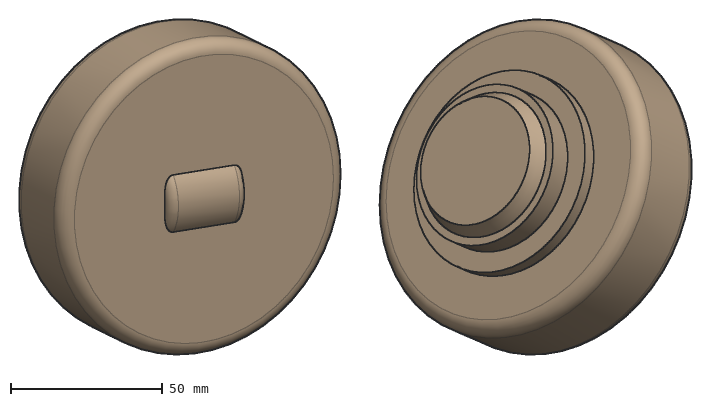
import cadquery as cq

wheel_diameter = 108.5
wheel_width = 31.7
rim_radius = 5.0

collar_diameter = 69.0
collar_width = 5.0
hub_diameter = 55.0
hub_width = 8.5
cone_base_diameter = 49.5
cone_tip_diameter = 43.9
cone_length = 5.5

roller_diameter = 32.1
roller_length = 29.7
roller_edge_radius = 3.3
roller_protrusion = 3.4

wheel_left = -wheel_width / 2
wheel_right = wheel_width / 2
collar_left = wheel_left - collar_width
hub_left = collar_left - hub_width
cone_tip = hub_left - cone_length


def disc(diameter, width, left):
    """Plain disc about the X axis, running from x = left toward +X."""
    return cq.Workplane("YZ", origin=(left, 0, 0)).circle(diameter / 2).extrude(width)


def make_wheel():
    """Wheel with both rim edges rounded."""
    return disc(wheel_diameter, wheel_width, wheel_left).edges().fillet(rim_radius)


def make_cone():
    """Tapered end cap, narrowing toward -X."""
    return (
        cq.Workplane("XY")
        .moveTo(cone_tip, 0)
        .lineTo(cone_tip, cone_tip_diameter / 2)
        .lineTo(hub_left, cone_base_diameter / 2)
        .lineTo(hub_left, 0)
        .close()
        .revolve(360, (0, 0, 0), (1, 0, 0))
    )


def make_side_roller():
    """Cylinder along Y with rounded ends, standing proud of the wheel's +X face."""
    axis_x = wheel_right + roller_protrusion - roller_diameter / 2
    return (
        cq.Workplane("XZ")
        .center(axis_x, 0)
        .circle(roller_diameter / 2)
        .extrude(roller_length / 2, both=True)
        .faces("<Y or >Y")
        .edges()
        .fillet(roller_edge_radius)
    )


result = (
    make_wheel()
    .union(disc(collar_diameter, collar_width, collar_left))
    .union(disc(hub_diameter, hub_width, hub_left))
    .union(make_cone())
    .union(make_side_roller())
)